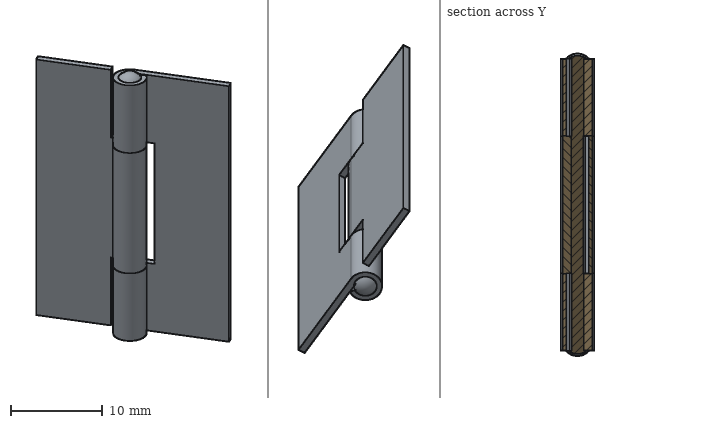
import cadquery as cq
import math

total_length = 33.2
leaf_length = 32.0
leaf_reach = 11.005
leaf_thickness = 0.8
barrel_diameter = 3.7
middle_knuckle_length = 15.07
notch_edge = 2.5
curl_end_angle = 34.0
head_radius = 1.25

barrel_radius = barrel_diameter / 2
pin_radius = barrel_radius - leaf_thickness
head_height = (total_length - leaf_length) / 2
leaf_top = leaf_length / 2
knuckle_top = middle_knuckle_length / 2


def polar_point(radius, angle):
    """Point at the given radius and angle in degrees around the hinge axis."""
    return (radius * math.cos(math.radians(angle)), radius * math.sin(math.radians(angle)))


def make_knuckle(bottom, top):
    """Strip running in from the notch edge and rolled around the pin, between two heights."""
    return (
        cq.Workplane("XY", origin=(0, 0, bottom))
        .moveTo(notch_edge, barrel_radius)
        .lineTo(0, barrel_radius)
        .threePointArc((-barrel_radius, 0), polar_point(barrel_radius, curl_end_angle))
        .lineTo(*polar_point(pin_radius, curl_end_angle))
        .threePointArc((-pin_radius, 0), (0, pin_radius))
        .lineTo(notch_edge, pin_radius)
        .close()
        .extrude(top - bottom)
    )


def make_leaf(knuckle_spans):
    """Leaf on the +X side with one rolled knuckle for each (bottom, top) span."""
    leaf = cq.Workplane("XY", origin=(notch_edge, pin_radius, -leaf_top)).box(
        leaf_reach - notch_edge, leaf_thickness, leaf_length, centered=False
    )
    for bottom, top in knuckle_spans:
        leaf = leaf.union(make_knuckle(bottom, top))
    return leaf


def make_pin():
    """Pin filling the barrel, with a domed head resting on each end."""
    dome_radius = (head_radius**2 + head_height**2) / (2 * head_height)
    dome_center = total_length / 2 - dome_radius
    half_sweep = math.asin(head_radius / dome_radius) / 2
    mid_radius = dome_radius * math.sin(half_sweep)
    mid_height = dome_center + dome_radius * math.cos(half_sweep)
    return (
        cq.Workplane("XZ")
        .moveTo(0, -total_length / 2)
        .threePointArc((mid_radius, -mid_height), (head_radius, -leaf_top))
        .lineTo(pin_radius, -leaf_top)
        .lineTo(pin_radius, leaf_top)
        .lineTo(head_radius, leaf_top)
        .threePointArc((mid_radius, mid_height), (0, total_length / 2))
        .close()
        .revolve(360, (0, 0), (0, 1))
    )


right_leaf = make_leaf([(-leaf_top, -knuckle_top), (knuckle_top, leaf_top)])
left_leaf = make_leaf([(-knuckle_top, knuckle_top)]).mirror("YZ")
pin = make_pin()

result = cq.Compound.makeCompound([right_leaf.val(), left_leaf.val(), pin.val()])